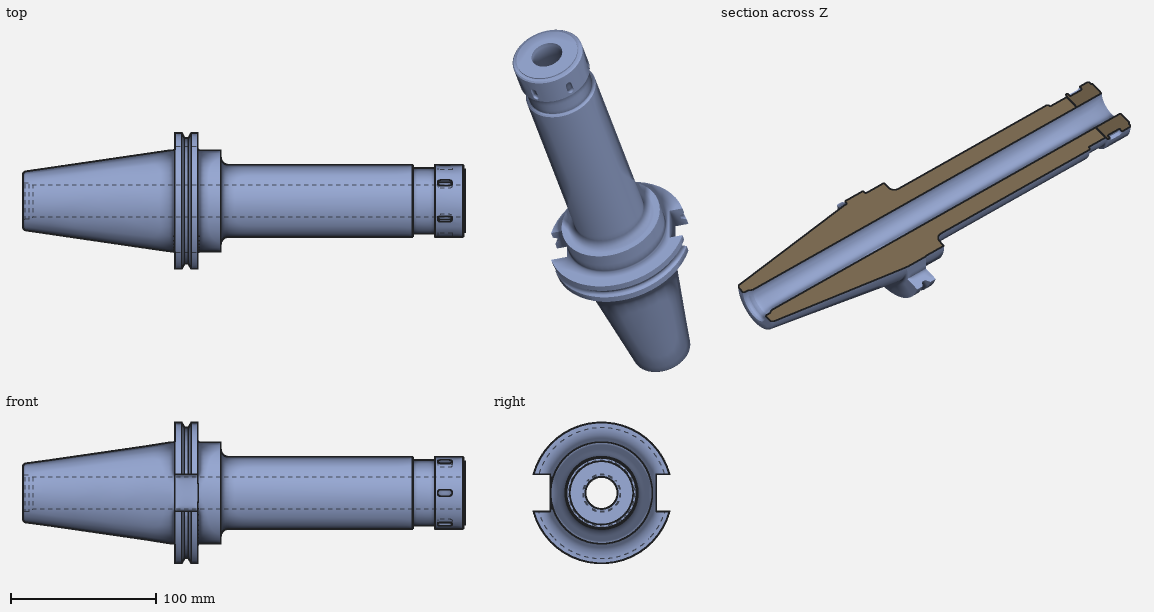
import cadquery as cq
import math

GAUGE_X = 102.5
FLANGE_START_X = 105.0
FLANGE_END_X = 120.8
COLLAR_END_X = 136.5
SHAFT_END_X = 269.3
NUT_START_X = 284.0
NUT_END_X = 305.0

GAUGE_DIAMETER = 70.0
TAPER_RATIO = 7 / 24
TAPER_END_ROUND = 2.7

FLANGE_DIAMETER = 97.3
GROOVE_CENTRE_X = 112.8
GROOVE_ROOT_WIDTH = 2.7
GROOVE_DEPTH = 3.5
GROOVE_WALL_ANGLE = 30
FLANGE_ROOT_FILLET = 1.0
DRIVE_SLOT_WIDTH = 25.5
FRONT_SLOT_FLOOR = 35.5
BACK_SLOT_FLOOR = 37.8

COLLAR_DIAMETER = 70.0
SHAFT_DIAMETER = 50.0
SHAFT_ROOT_FILLET = 5.0
SHAFT_END_CHAMFER = 1.0
NECK_DIAMETER = 45.5

BORE_DIAMETER = 22.0
COUNTERBORE_DIAMETER = 25.0
COUNTERBORE_DEPTH = 4.0
COUNTERBORE_CONE_LENGTH = 2.7
COUNTERBORE_CHAMFER = 0.5
COUNTERBORE_CHAMFER_LENGTH = 1.2

NUT_DIAMETER = 50.0
NUT_CHAMFER = 1.0
NUT_BACK_CHAMFER = 0.3
NUT_RIM_DIAMETER = 43.5
NUT_RIM_HEIGHT = 1.0
WRENCH_SLOT_COUNT = 6
WRENCH_SLOT_LENGTH = 10.0
WRENCH_SLOT_WIDTH = 4.5
WRENCH_SLOT_DEPTH = 3.0
WRENCH_SLOT_CENTRE_X = 291.0


def cylinder(diameter, start_x, end_x):
    """Round bar along the X axis."""
    return cq.Workplane("YZ", origin=(start_x, 0, 0)).circle(diameter / 2).extrude(end_x - start_x)


def make_blank():
    """Turned outside shape of the holder, without groove or bore."""
    gauge_radius = GAUGE_DIAMETER / 2
    small_radius = gauge_radius - GAUGE_X * TAPER_RATIO / 2
    flange_radius = FLANGE_DIAMETER / 2
    collar_radius = COLLAR_DIAMETER / 2
    shaft_radius = SHAFT_DIAMETER / 2
    neck_radius = NECK_DIAMETER / 2
    taper = (
        cq.Workplane("XY")
        .polyline([(0, 0), (0, small_radius), (GAUGE_X, gauge_radius), (GAUGE_X, 0)])
        .close()
        .revolve(360, (0, 0, 0), (1, 0, 0))
        .faces("<X").edges().fillet(TAPER_END_ROUND)
    )
    root = FLANGE_ROOT_FILLET
    fillet = SHAFT_ROOT_FILLET
    body = (
        cq.Workplane("XY")
        .moveTo(GAUGE_X, 0)
        .lineTo(GAUGE_X, gauge_radius)
        .lineTo(FLANGE_START_X - root, gauge_radius)
        .radiusArc((FLANGE_START_X, gauge_radius + root), -root)
        .lineTo(FLANGE_START_X, flange_radius)
        .lineTo(FLANGE_END_X, flange_radius)
        .lineTo(FLANGE_END_X, collar_radius + root)
        .radiusArc((FLANGE_END_X + root, collar_radius), -root)
        .lineTo(COLLAR_END_X, collar_radius)
        .lineTo(COLLAR_END_X, shaft_radius + fillet)
        .radiusArc((COLLAR_END_X + fillet, shaft_radius), -fillet)
        .lineTo(SHAFT_END_X - SHAFT_END_CHAMFER, shaft_radius)
        .lineTo(SHAFT_END_X, shaft_radius - SHAFT_END_CHAMFER)
        .lineTo(SHAFT_END_X, neck_radius)
        .lineTo(NUT_START_X, neck_radius)
        .lineTo(NUT_START_X, 0)
        .close()
        .revolve(360, (0, 0, 0), (1, 0, 0))
    )
    return taper.union(body)


def make_flange_groove():
    """Ring with a V-shaped section that cuts the gripper groove."""
    rim_radius = FLANGE_DIAMETER / 2
    root_radius = rim_radius - GROOVE_DEPTH
    root_half = GROOVE_ROOT_WIDTH / 2
    rim_half = root_half + GROOVE_DEPTH * math.tan(math.radians(GROOVE_WALL_ANGLE))
    return (
        cq.Workplane("XY")
        .polyline([
            (GROOVE_CENTRE_X - rim_half, rim_radius),
            (GROOVE_CENTRE_X - root_half, root_radius),
            (GROOVE_CENTRE_X + root_half, root_radius),
            (GROOVE_CENTRE_X + rim_half, rim_radius),
        ])
        .close()
        .revolve(360, (0, 0, 0), (1, 0, 0))
    )


def make_drive_slot(side, floor_distance):
    """Block that cuts one drive slot; side is -1 for -Y and +1 for +Y."""
    length = FLANGE_END_X - FLANGE_START_X + 2 * FLANGE_ROOT_FILLET
    depth = FLANGE_DIAMETER / 2 - floor_distance
    centre = ((FLANGE_START_X + FLANGE_END_X) / 2, side * (floor_distance + depth / 2), 0)
    return cq.Workplane("XY", origin=centre).box(length, depth, DRIVE_SLOT_WIDTH)


def make_counterbore():
    """Cutter for the wider mouth of the bore, chamfered at the end face and with a conical floor."""
    radius = COUNTERBORE_DIAMETER / 2
    floor_x = COUNTERBORE_DEPTH + COUNTERBORE_CONE_LENGTH
    return (
        cq.Workplane("XY")
        .polyline([
            (0, 0),
            (0, radius + COUNTERBORE_CHAMFER),
            (COUNTERBORE_CHAMFER_LENGTH, radius),
            (COUNTERBORE_DEPTH, radius),
            (floor_x, BORE_DIAMETER / 2),
            (floor_x, 0),
        ])
        .close()
        .revolve(360, (0, 0, 0), (1, 0, 0))
    )


def make_holder():
    """Taper shank, flange, shaft and neck with a stepped bore."""
    return (
        make_blank()
        .cut(make_flange_groove())
        .cut(make_drive_slot(-1, FRONT_SLOT_FLOOR))
        .cut(make_drive_slot(1, BACK_SLOT_FLOOR))
        .cut(cylinder(BORE_DIAMETER, 0, NUT_START_X))
        .cut(make_counterbore())
    )


def make_nut():
    """Clamping nut with wrench slots spaced evenly around its rim."""
    shoulder_x = NUT_END_X - NUT_RIM_HEIGHT
    nut = (
        cylinder(NUT_DIAMETER, NUT_START_X, shoulder_x)
        .faces(">X").edges().chamfer(NUT_CHAMFER)
        .faces("<X").edges().chamfer(NUT_BACK_CHAMFER)
        .union(cylinder(NUT_RIM_DIAMETER, shoulder_x, NUT_END_X))
    )
    nut = nut.cut(cylinder(BORE_DIAMETER, NUT_START_X, NUT_END_X))
    slot = (
        cq.Workplane("XY", origin=(WRENCH_SLOT_CENTRE_X, 0, NUT_DIAMETER / 2 - WRENCH_SLOT_DEPTH))
        .slot2D(WRENCH_SLOT_LENGTH, WRENCH_SLOT_WIDTH)
        .extrude(2 * WRENCH_SLOT_DEPTH)
    )
    pitch = 360 / WRENCH_SLOT_COUNT
    for index in range(WRENCH_SLOT_COUNT):
        nut = nut.cut(slot.rotate((0, 0, 0), (1, 0, 0), (index + 0.5) * pitch))
    return nut


holder = make_holder()
nut = make_nut()

result = cq.Compound.makeCompound([holder.val(), nut.val()])